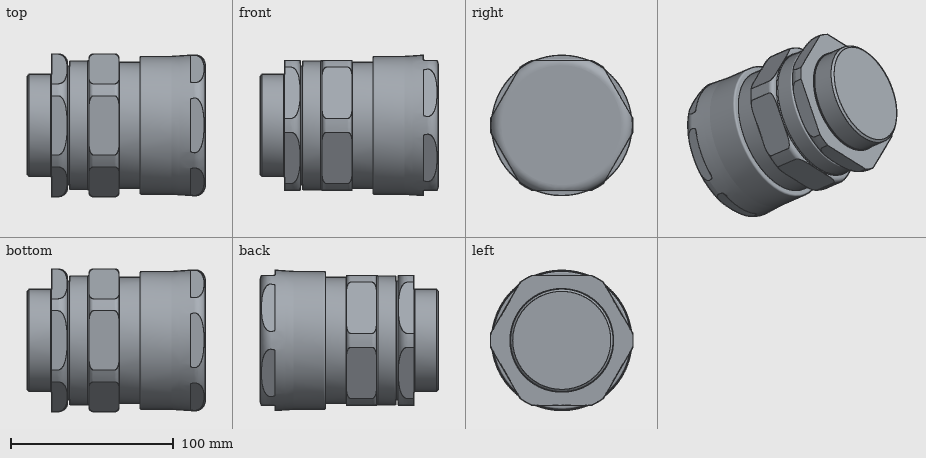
import cadquery as cq
import math


ACROSS_FLATS = 80.0
FLAT_RADIUS = ACROSS_FLATS / 2
NUT_CORNER_RADIUS = 44.0

STUB_CHAMFER_END = 1.3
LOCKNUT_START = 15.1
LOCKNUT_END = 25.0
COLLAR_START = 26.1
SEAT_START = 37.3
HEX_START = 38.0
SLEEVE_START = 56.6
CAP_START = 69.4
CAP_TAPER_START = 89.0
CAP_TAPER_BREAK = 93.9
CAP_FLATS_START = 100.3
CAP_ROUND_START = 103.0
OVERALL_LENGTH = 109.6

STUB_RADIUS = 31.51
STUB_TIP_RADIUS = 30.1
FLARE_LENGTH = 0.8
FLARE_RADIUS = 31.9

LOCKNUT_ROUND = 6.0
RING_RADIUS = 36.6
RING_CHAMFER = 0.3
COLLAR_RADIUS = 39.62
COLLAR_ROUND = 0.8

HEX_ROUND = 2.7
SEAT_RADIUS = FLAT_RADIUS

SLEEVE_RADIUS = 38.86
SLEEVE_CHAMFER = 0.3

CAP_RADIUS = 42.47
CAP_FRONT_ROUND = 1.1
CAP_BREAK_RADIUS = 42.8
CAP_LARGE_RADIUS = 43.4
CAP_END_ROUND = OVERALL_LENGTH - CAP_ROUND_START
CAP_FLAT_ROUND = 0.8
CUTTER_WIDTH = ACROSS_FLATS * math.tan(math.pi / 6)
CUTTER_HEIGHT = 11.0


def disc(start, end, radius):
    """Cylinder on the X axis between two stations."""
    return cq.Workplane("YZ").workplane(offset=start).circle(radius).extrude(end - start)


def cone(start, start_radius, end, end_radius):
    """Frustum on the X axis between two stations."""
    return revolved(
        cq.Workplane("XY")
        .moveTo(start, 0)
        .lineTo(start, start_radius)
        .lineTo(end, end_radius)
        .lineTo(end, 0)
    )


def revolved(half_outline):
    """Close a half outline and revolve it about the X axis."""
    return half_outline.close().revolve(360, (0, 0, 0), (1, 0, 0))


def hexagon(start, end):
    """Hexagonal prism with flats facing up and down and corners along Y."""
    corner_diameter = ACROSS_FLATS / math.cos(math.pi / 6)
    return (
        cq.Workplane("YZ")
        .workplane(offset=start)
        .polygon(6, corner_diameter)
        .extrude(end - start)
    )


def hex_nut(start, end, rounded_faces, round_radius):
    """Hexagon trimmed by a cylinder whose chosen end faces are rounded off."""
    envelope = disc(start, end, NUT_CORNER_RADIUS).faces(rounded_faces).edges().fillet(round_radius)
    return hexagon(start, end).intersect(envelope)


def make_threaded_core():
    """Solid stub that runs through the locknut and both rings up to the body hexagon."""
    core = cone(0, STUB_TIP_RADIUS, STUB_CHAMFER_END, STUB_RADIUS)
    core = core.union(disc(STUB_CHAMFER_END, SEAT_START, STUB_RADIUS))
    flare = cone(LOCKNUT_START - FLARE_LENGTH, STUB_RADIUS, LOCKNUT_START, FLARE_RADIUS)
    return core.union(flare)


def make_locknut():
    """Hexagonal locknut, flat in front and rounded behind."""
    nut = hex_nut(LOCKNUT_START, LOCKNUT_END, ">X", LOCKNUT_ROUND)
    return nut.cut(disc(LOCKNUT_START, LOCKNUT_END, STUB_RADIUS))


def make_spacer_ring():
    """Thin ring between the locknut and the collar."""
    ring = disc(LOCKNUT_END, COLLAR_START, RING_RADIUS).faces(">X").edges().chamfer(RING_CHAMFER)
    return ring.cut(disc(LOCKNUT_END, COLLAR_START, STUB_RADIUS))


def make_collar():
    """Wide ring with a rounded front edge."""
    collar = disc(COLLAR_START, SEAT_START, COLLAR_RADIUS).faces("<X").edges().fillet(COLLAR_ROUND)
    return collar.cut(disc(COLLAR_START, SEAT_START, STUB_RADIUS))


def make_body_hex():
    """Body hexagon, rounded at both ends, with a flared seat in front."""
    seat = cone(SEAT_START, COLLAR_RADIUS, HEX_START, SEAT_RADIUS)
    return hex_nut(HEX_START, SLEEVE_START, "<X or >X", HEX_ROUND).union(seat)


def make_sleeve():
    """Plain cylinder between the body hexagon and the cap."""
    return disc(SLEEVE_START, CAP_START, SLEEVE_RADIUS).faces("<X").edges().chamfer(SLEEVE_CHAMFER)


def cap_flat_cutter(angle):
    """Block that cuts one grip flat, leaving a small fillet at the foot of its wall."""
    block = cq.Workplane("XY").box(
        OVERALL_LENGTH - CAP_FLATS_START, CUTTER_WIDTH, CUTTER_HEIGHT, centered=(False, True, False)
    )
    block = block.edges("<X and <Z").fillet(CAP_FLAT_ROUND)
    block = block.translate((CAP_FLATS_START, 0, FLAT_RADIUS))
    return block.rotate((0, 0, 0), (1, 0, 0), angle)


def make_cap():
    """Round cap that widens toward a rounded end with six grip flats."""
    cap = revolved(
        cq.Workplane("XY")
        .moveTo(CAP_START, 0)
        .lineTo(CAP_START, CAP_RADIUS)
        .lineTo(CAP_TAPER_START, CAP_RADIUS)
        .lineTo(CAP_TAPER_BREAK, CAP_BREAK_RADIUS)
        .lineTo(CAP_ROUND_START, CAP_LARGE_RADIUS)
        .radiusArc((OVERALL_LENGTH, CAP_LARGE_RADIUS - CAP_END_ROUND), CAP_END_ROUND)
        .lineTo(OVERALL_LENGTH, 0)
    )
    cap = cap.faces("<X").edges().fillet(CAP_FRONT_ROUND)
    for angle in range(0, 360, 60):
        cap = cap.cut(cap_flat_cutter(angle))
    return cap


threaded_core = make_threaded_core()
locknut = make_locknut()
spacer_ring = make_spacer_ring()
collar = make_collar()
body_hex = make_body_hex()
sleeve = make_sleeve()
cap = make_cap()

result = cq.Compound.makeCompound(
    [
        threaded_core.val(),
        locknut.val(),
        spacer_ring.val(),
        collar.val(),
        body_hex.val(),
        sleeve.val(),
        cap.val(),
    ]
)